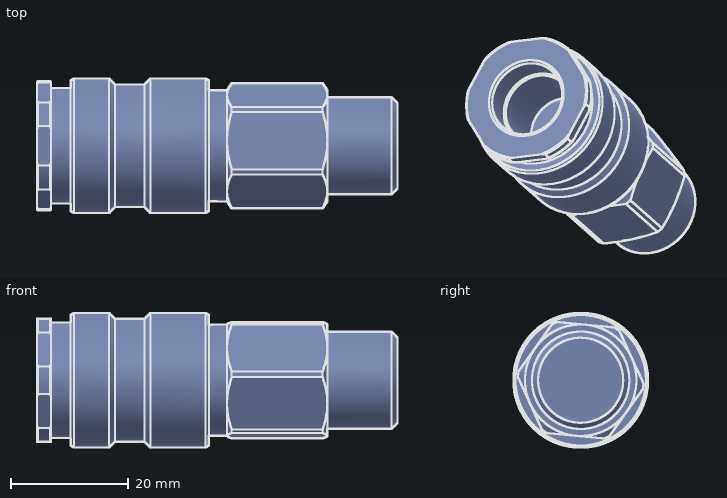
import cadquery as cq
import math

collar_end = 2.45
sleeve_start = 5.8
groove_start = 12.3
groove_end = 19.4
sleeve_end = 29.35
hex_start = 32.4
hex_end = 49.5
total_length = 61.5

front_neck_dia = 19.75
sleeve_dia = 23.0
groove_dia = 21.0
rear_neck_dia = 19.0
tail_dia = 16.6

sleeve_chamfer_length = 0.55
sleeve_chamfer_depth = 0.35
groove_slope_length = (sleeve_dia - groove_dia) / 2
tail_chamfer = 1.05

collar_dia = 22.0
collar_flats = groove_dia
collar_chamfer = 0.2

wrench_flats = 19.0
wrench_corner_dia = 21.4
wrench_turn = -5.4
wrench_chamfer_length = 0.8

mouth_dia = 13.6
socket_dia = 12.7
socket_step_depth = 6.1
inner_socket_dia = 12.0
socket_depth = 18.45


def revolve_profile(points):
    """Turn a closed (station, radius) outline about the X axis."""
    return cq.Workplane("XY").polyline(points).close().revolve(360, (0, 0, 0), (1, 0, 0))


def cylinder(start, end, diameter):
    return cq.Workplane("YZ", origin=(start, 0, 0)).circle(diameter / 2).extrude(end - start)


def hexagon(start, end, across_flats, turn):
    """Hexagonal prism along X; at zero turn two corners point along Y."""
    across_corners = across_flats / math.cos(math.radians(30))
    prism = cq.Workplane("YZ", origin=(start, 0, 0)).polygon(6, across_corners).extrude(end - start)
    return prism.rotate((0, 0, 0), (1, 0, 0), turn)


def make_collar():
    disc = cylinder(0, collar_end, collar_dia).edges().chamfer(collar_chamfer)
    return disc.intersect(hexagon(0, collar_end, collar_flats, 0))


def make_sleeve():
    radius = sleeve_dia / 2
    end_radius = radius - sleeve_chamfer_depth
    groove_radius = groove_dia / 2
    return revolve_profile([
        (sleeve_start, 0),
        (sleeve_start, end_radius),
        (sleeve_start + sleeve_chamfer_length, radius),
        (groove_start, radius),
        (groove_start + groove_slope_length, groove_radius),
        (groove_end - groove_slope_length, groove_radius),
        (groove_end, radius),
        (sleeve_end - sleeve_chamfer_length, radius),
        (sleeve_end, end_radius),
        (sleeve_end, 0),
    ])


def make_wrench_hexagon():
    corner_radius = wrench_corner_dia / 2
    end_radius = wrench_flats / 2
    rounded_blank = revolve_profile([
        (hex_start, 0),
        (hex_start, end_radius),
        (hex_start + wrench_chamfer_length, corner_radius),
        (hex_end - wrench_chamfer_length, corner_radius),
        (hex_end, end_radius),
        (hex_end, 0),
    ])
    return rounded_blank.intersect(hexagon(hex_start, hex_end, wrench_flats, wrench_turn))


def make_tail():
    return cylinder(hex_end, total_length, tail_dia).faces(">X").edges().chamfer(tail_chamfer)


def make_socket():
    mouth_radius = mouth_dia / 2
    socket_radius = socket_dia / 2
    inner_radius = inner_socket_dia / 2
    mouth_chamfer = mouth_radius - socket_radius
    return revolve_profile([
        (0, 0),
        (0, mouth_radius),
        (mouth_chamfer, socket_radius),
        (socket_step_depth, socket_radius),
        (socket_step_depth, inner_radius),
        (socket_depth, inner_radius),
        (socket_depth, 0),
    ])


front_neck = cylinder(collar_end, sleeve_start, front_neck_dia)
rear_neck = cylinder(sleeve_end, hex_start, rear_neck_dia)

result = make_collar()
for section in (front_neck, make_sleeve(), rear_neck, make_wrench_hexagon(), make_tail()):
    result = result.union(section)
result = result.cut(make_socket())